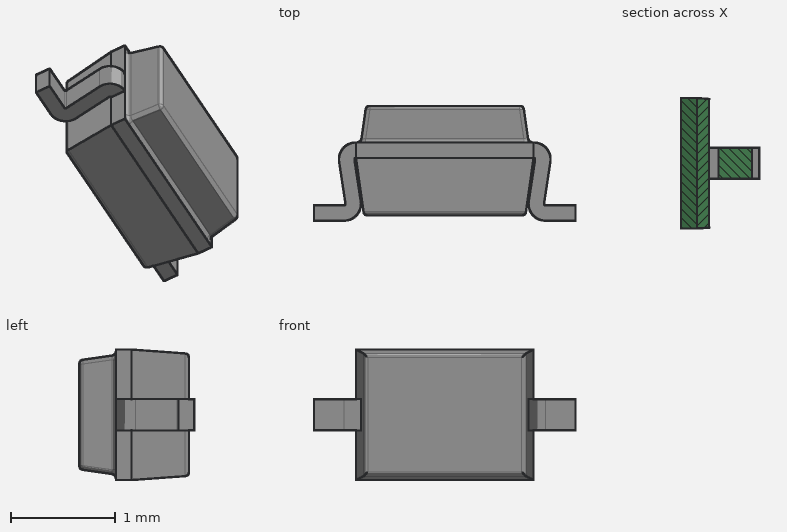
import cadquery as cq
import math


lead_span = 2.5
lead_thickness = 0.15
lead_width = 0.3
inner_bend_radius = 0.012
outer_bend_radius = inner_bend_radius + lead_thickness
foot_bend_x = 0.962

parting_half_x = 0.85
parting_half_z = 0.625
parting_y = 0.6
band_y = parting_y + lead_thickness
lower_face_y = 0.05
lower_face_half_x = 0.772
lower_face_half_z = 0.585
upper_face_y = 1.1
upper_base_half_x = 0.802
upper_base_half_z = 0.572
upper_draft_inset = 0.05
edge_radius = 0.042
edge_margin = 0.002


def tapered_block(start_y, start_half_x, start_half_z, end_y, end_half_x, end_half_z):
    """Flat-sided block along Y whose rectangular section changes evenly from start to end."""
    x_profile = (
        cq.Workplane("XY")
        .polyline([
            (-start_half_x, start_y),
            (start_half_x, start_y),
            (end_half_x, end_y),
            (-end_half_x, end_y),
        ])
        .close()
        .extrude(max(start_half_z, end_half_z), both=True)
    )
    z_profile = (
        cq.Workplane("YZ")
        .polyline([
            (start_y, -start_half_z),
            (start_y, start_half_z),
            (end_y, end_half_z),
            (end_y, -end_half_z),
        ])
        .close()
        .extrude(max(start_half_x, end_half_x), both=True)
    )
    return x_profile.intersect(z_profile)


def make_lower_half():
    """Lower housing half, tapering towards the seating side."""
    block = tapered_block(
        parting_y, parting_half_x, parting_half_z,
        lower_face_y, lower_face_half_x, lower_face_half_z,
    )
    return block.faces("<Y").edges().fillet(edge_radius)


def make_upper_half():
    """Upper housing half: a straight band carrying a narrower tapered crown."""
    band = tapered_block(
        parting_y, parting_half_x, parting_half_z,
        band_y, parting_half_x, parting_half_z,
    )
    crown = tapered_block(
        band_y, upper_base_half_x, upper_base_half_z,
        upper_face_y, upper_base_half_x - upper_draft_inset, upper_base_half_z - upper_draft_inset,
    )
    crown = crown.edges("not(#Y)").fillet(edge_radius)
    crown = crown.faces(">Y").edges().fillet(edge_radius)
    base_edges = cq.selectors.BoxSelector(
        (-upper_base_half_x - edge_margin, band_y - edge_margin, -upper_base_half_z - edge_margin),
        (upper_base_half_x + edge_margin, band_y + edge_margin, upper_base_half_z + edge_margin),
    )
    return band.union(crown).edges(base_edges).fillet(edge_radius)


def make_lead(side):
    """Gull-wing lead on the +X (side = 1) or -X (side = -1) end of the housing."""
    end_x = lead_span / 2
    shoulder_y = band_y - outer_bend_radius
    foot_centre_y = outer_bend_radius

    run = foot_bend_x - parting_half_x
    drop = shoulder_y - foot_centre_y
    tilt = math.asin((outer_bend_radius + inner_bend_radius) / math.hypot(run, drop)) - math.atan2(run, drop)
    middle_angle = (math.pi / 2 - tilt) / 2

    def on_shoulder(radius, angle):
        return (parting_half_x + radius * math.cos(angle), shoulder_y + radius * math.sin(angle))

    def on_foot(radius, angle):
        return (foot_bend_x - radius * math.cos(angle), foot_centre_y - radius * math.sin(angle))

    lead = (
        cq.Workplane("XY", origin=(0, 0, -lead_width / 2))
        .moveTo(parting_half_x, parting_y)
        .lineTo(parting_half_x, band_y)
        .threePointArc(on_shoulder(outer_bend_radius, middle_angle), on_shoulder(outer_bend_radius, -tilt))
        .lineTo(*on_foot(inner_bend_radius, -tilt))
        .threePointArc(on_foot(inner_bend_radius, middle_angle), (foot_bend_x, lead_thickness))
        .lineTo(end_x, lead_thickness)
        .lineTo(end_x, 0)
        .lineTo(foot_bend_x, 0)
        .threePointArc(on_foot(outer_bend_radius, middle_angle), on_foot(outer_bend_radius, -tilt))
        .lineTo(*on_shoulder(inner_bend_radius, -tilt))
        .threePointArc(on_shoulder(inner_bend_radius, middle_angle), (parting_half_x, parting_y))
        .close()
        .extrude(lead_width)
    )
    return lead if side > 0 else lead.mirror("YZ")


lower_half = make_lower_half()
upper_half = make_upper_half()
leads = [make_lead(side) for side in (-1, 1)]

result = cq.Compound.makeCompound([lower_half.val(), upper_half.val(), *[lead.val() for lead in leads]])